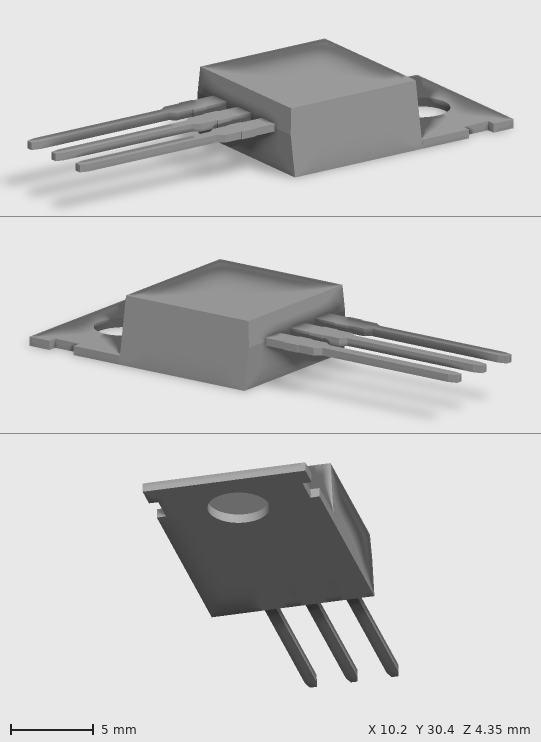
import cadquery as cq
import math


WIDTH = 10.15
HOUSING_LENGTH = 9.4
HOUSING_HEIGHT = 4.35
PARTING_HEIGHT = 2.7
SIDE_DRAFT = 4.0
END_DRAFT = 4.0

TAB_LENGTH = 6.7
TAB_THICKNESS = 0.58
HOLE_DIAMETER = 3.75
HOLE_FROM_END = 3.4
NOTCH_FROM_END = 1.5
NOTCH_LENGTH = 1.82
NOTCH_DEPTH = 0.58

LEAD_COUNT = 3
LEAD_PITCH = 2.55
LEAD_BOTTOM = 2.45
LEAD_THICKNESS = 0.5
ROOT_WIDTH = 1.37
BULGE_WIDTH = 1.55
PIN_WIDTH = 0.73
TIP_WIDTH = 0.42
OVERALL_LENGTH = 30.35
TIP_TAPER = 0.58
SHOULDER_START = 9.98
SHOULDER_END = 10.4
BULGE_START = 11.55
BULGE_END = 12.55

SIDE_SLOPE = math.tan(math.radians(SIDE_DRAFT))
END_SLOPE = math.tan(math.radians(END_DRAFT))

HOUSING_FRONT_Y = -HOUSING_LENGTH
LEAD_TIP_Y = TAB_LENGTH - OVERALL_LENGTH


def make_housing():
    """Drafted block: a side profile trimmed by the tapering front outline."""
    ridge_y = HOUSING_FRONT_Y - PARTING_HEIGHT * END_SLOPE
    top_front_y = ridge_y + (HOUSING_HEIGHT - PARTING_HEIGHT) * END_SLOPE
    top_rear_y = -HOUSING_HEIGHT * END_SLOPE
    side_profile = (
        cq.Workplane("YZ")
        .polyline([
            (0, 0),
            (HOUSING_FRONT_Y, 0),
            (ridge_y, PARTING_HEIGHT),
            (top_front_y, HOUSING_HEIGHT),
            (top_rear_y, HOUSING_HEIGHT),
        ])
        .close()
        .extrude(WIDTH / 2, both=True)
    )
    half_bottom = WIDTH / 2
    half_top = half_bottom - HOUSING_HEIGHT * SIDE_SLOPE
    front_outline = (
        cq.Workplane("XZ")
        .polyline([
            (-half_bottom, 0),
            (half_bottom, 0),
            (half_top, HOUSING_HEIGHT),
            (-half_top, HOUSING_HEIGHT),
        ])
        .close()
        .extrude(2 * HOUSING_LENGTH, both=True)
    )
    return side_profile.intersect(front_outline)


def make_tab():
    """Flat plate butting against the sloping rear face of the housing."""
    plate = (
        cq.Workplane("YZ")
        .polyline([
            (0, 0),
            (TAB_LENGTH, 0),
            (TAB_LENGTH, TAB_THICKNESS),
            (-TAB_THICKNESS * END_SLOPE, TAB_THICKNESS),
        ])
        .close()
        .extrude(WIDTH / 2, both=True)
    )
    hole = (
        cq.Workplane("XY")
        .center(0, TAB_LENGTH - HOLE_FROM_END)
        .circle(HOLE_DIAMETER / 2)
        .extrude(TAB_THICKNESS)
    )
    notches = (
        cq.Workplane("XY")
        .center(0, TAB_LENGTH - NOTCH_FROM_END - NOTCH_LENGTH / 2)
        .pushPoints([(-WIDTH / 2, 0), (WIDTH / 2, 0)])
        .rect(2 * NOTCH_DEPTH, NOTCH_LENGTH)
        .extrude(TAB_THICKNESS)
    )
    return plate.cut(hole).cut(notches)


def make_lead(center_x, housing):
    """Flat stepped lead, trimmed to end on the front face of the housing."""
    right_edge = [
        (TIP_WIDTH / 2, LEAD_TIP_Y),
        (PIN_WIDTH / 2, LEAD_TIP_Y + TIP_TAPER),
        (PIN_WIDTH / 2, LEAD_TIP_Y + SHOULDER_START),
        (ROOT_WIDTH / 2, LEAD_TIP_Y + SHOULDER_END),
        (ROOT_WIDTH / 2, LEAD_TIP_Y + BULGE_START),
        (BULGE_WIDTH / 2, LEAD_TIP_Y + BULGE_START),
        (BULGE_WIDTH / 2, LEAD_TIP_Y + BULGE_END),
        (ROOT_WIDTH / 2, LEAD_TIP_Y + BULGE_END),
        (ROOT_WIDTH / 2, HOUSING_FRONT_Y),
    ]
    left_edge = [(-x, y) for x, y in reversed(right_edge)]
    lead = (
        cq.Workplane("XY", origin=(center_x, 0, LEAD_BOTTOM))
        .polyline(right_edge + left_edge)
        .close()
        .extrude(LEAD_THICKNESS)
    )
    return lead.cut(housing)


housing = make_housing()
tab = make_tab()

leads = []
for index in range(LEAD_COUNT):
    lead_x = (index - (LEAD_COUNT - 1) / 2) * LEAD_PITCH
    leads.append(make_lead(lead_x, housing))

result = cq.Compound.makeCompound([
    housing.val(),
    tab.val(),
    *[lead.val() for lead in leads],
])